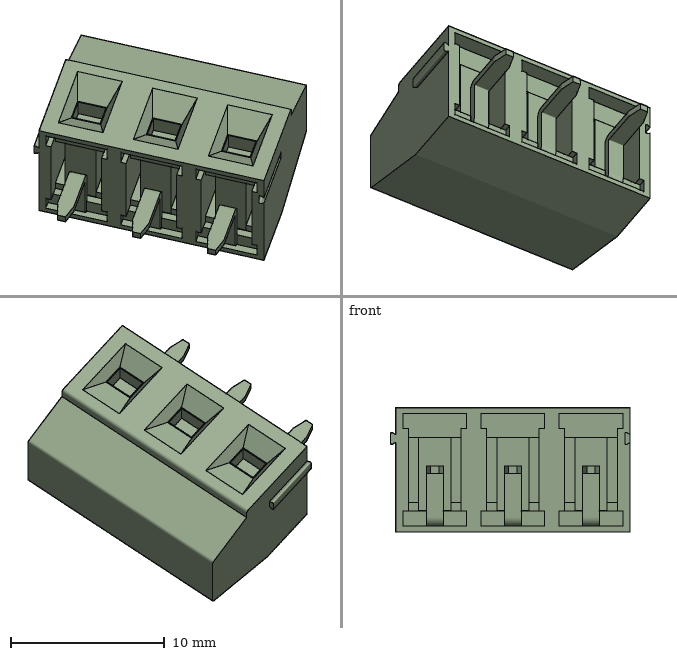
import cadquery as cq


pole_count = 3
pole_pitch = 5.08

overall_width = 15.59
housing_width = pole_count * pole_pitch
housing_depth = 10.01
housing_height = 8.1
half_width = housing_width / 2
step_y = 6.4
step_z = 7.4
upper_back_z = 6.38
lower_back_z = 1.68
underside_end_y = 4.21
edge_radius = 0.22

rail_height = overall_width - housing_width
rail_length = 4.0
rail_z = 6.1
rail_neck = 0.53
rail_tip = 0.9
rail_radius = 0.1

rim = 0.39
wide_half = 2.07
narrow_half = 1.71
upper_wide_z = 6.73
lower_wide_z = 1.37
recess_depth = 1.0
lower_recess_depth = 0.5
recess_top_z = housing_height - rim

chamber_floor_z = 1.92
chamber_top_z = 6.16

funnel_half = 1.51
funnel_front_y = 1.0
funnel_back_y = 5.52
throat_half = 1.0
throat_front_y = 2.25
throat_back_y = 3.73
funnel_depth = 0.78
throat_z = housing_height - funnel_depth
throat_ledge = 0.06

clamp_half = 1.05
clamp_floor_z = 1.42
clamp_front_y = recess_depth
clamp_back_y = funnel_back_y
strip_thickness = 0.5
inner_bend_radius = 0.05
outer_bend_radius = inner_bend_radius + strip_thickness
pin_width = 1.1
pin_top_z = 4.3
leg_front_y = 0.08
tail_length = 3.49
tip_length = 1.0
tip_width = 0.55

pole_positions = [(i - (pole_count - 1) / 2) * pole_pitch for i in range(pole_count)]


def box(x_range, y_range, z_range):
    """Axis-aligned box between two limits on each axis."""
    size = [high - low for low, high in (x_range, y_range, z_range)]
    return cq.Workplane("XY").box(*size, centered=False).translate((x_range[0], y_range[0], z_range[0]))


def centred_box(half, y_range, z_range):
    """Box that is symmetric about X = 0."""
    return box((-half, half), y_range, z_range)


def nearest(point):
    """Selector for the edge whose middle is nearest to a point."""
    return cq.selectors.NearestToPointSelector(point)


def make_shell():
    """Side profile extruded over the whole width, with its upper and back edges rounded."""
    profile = [
        (0, 0),
        (underside_end_y, 0),
        (housing_depth, lower_back_z),
        (housing_depth, upper_back_z),
        (step_y, step_z),
        (step_y, housing_height),
        (0, housing_height),
    ]
    shell = cq.Workplane("YZ").polyline(profile).close().extrude(half_width, both=True)
    back_edges = shell.faces(">Y").edges("|X")
    step_edge = shell.edges(nearest((0, step_y, housing_height)))
    return shell.newObject(back_edges.vals() + step_edge.vals()).fillet(edge_radius)


def make_rail(root_x):
    """Dovetail rail that stands out toward -X from root_x, with its two lips rounded."""
    tip_x = root_x - rail_height
    profile = [
        (root_x, rail_z - rail_neck / 2),
        (tip_x, rail_z - rail_tip / 2),
        (tip_x, rail_z + rail_tip / 2),
        (root_x, rail_z + rail_neck / 2),
    ]
    rail = cq.Workplane("XZ").polyline(profile).close().extrude(-rail_length)
    return rail.faces("<X").edges("|Y").fillet(rail_radius)


def make_front_recess():
    """Recess in the mounting face: wide at the top and bottom, narrow between."""
    deep = (0, recess_depth)
    top = centred_box(wide_half, deep, (upper_wide_z, recess_top_z))
    middle = centred_box(narrow_half, deep, (lower_wide_z, recess_top_z))
    bottom = centred_box(wide_half, (0, lower_recess_depth), (rim, lower_wide_z))
    return top.union(middle).union(bottom)


def make_chamber():
    """Chamber behind the recess, wider than the clamp that stands in it."""
    return centred_box(narrow_half, (recess_depth, clamp_back_y), (chamber_floor_z, chamber_top_z))


def make_funnel():
    """Tapered wire entry with a straight throat that reaches the top of the clamp chamber."""
    mouth_centre = (funnel_front_y + funnel_back_y) / 2
    throat_centre = (throat_front_y + throat_back_y) / 2
    throat_length = throat_back_y - throat_front_y
    taper = (
        cq.Workplane("XY", origin=(0, mouth_centre, housing_height))
        .rect(2 * funnel_half, funnel_back_y - funnel_front_y)
        .workplane(offset=-funnel_depth)
        .center(0, throat_centre - mouth_centre)
        .rect(2 * throat_half, throat_length)
        .loft(ruled=True)
    )
    throat_y = (throat_front_y + throat_ledge, throat_back_y - throat_ledge)
    throat = centred_box(throat_half - throat_ledge, throat_y, (chamber_top_z, throat_z))
    return taper.union(throat)


def make_tail():
    """Solder tail along -Y with a tapered tip."""
    shoulder_y = tip_length - tail_length
    right_side = [
        (pin_width / 2, leg_front_y + strip_thickness),
        (pin_width / 2, shoulder_y),
        (tip_width / 2, -tail_length),
    ]
    left_side = [(-x, y) for x, y in reversed(right_side)]
    outline = cq.Workplane("XY", origin=(0, 0, pin_top_z - strip_thickness)).polyline(right_side + left_side)
    return outline.close().extrude(strip_thickness)


def make_terminal():
    """Clamp block and the bent strip that carries its solder tail, as one solid."""
    pin_half = pin_width / 2
    leg_back_y = leg_front_y + strip_thickness
    riser_back_y = clamp_front_y + strip_thickness
    leg = centred_box(pin_half, (leg_front_y, leg_back_y), (rim, pin_top_z))
    foot = centred_box(pin_half, (leg_front_y, riser_back_y), (rim, rim + strip_thickness))
    riser = centred_box(pin_half, (clamp_front_y, riser_back_y), (rim, clamp_floor_z))
    strip = make_tail().union(leg).union(foot).union(riser)
    bends = [
        (leg_back_y, pin_top_z, outer_bend_radius),
        (leg_front_y, pin_top_z - strip_thickness, inner_bend_radius),
        (leg_front_y, rim, outer_bend_radius),
        (leg_back_y, rim + strip_thickness, inner_bend_radius),
    ]
    for y, z, radius in bends:
        strip = strip.edges(nearest((0, y, z))).fillet(radius)
    clamp = centred_box(clamp_half, (clamp_front_y, clamp_back_y), (clamp_floor_z, chamber_top_z))
    return strip.union(clamp)


def make_housing(terminals):
    """Shell with its rail and groove, the openings of every pole, and seats that fit the terminals."""
    housing = make_shell().union(make_rail(-half_width)).cut(make_rail(half_width))
    opening = make_front_recess().union(make_chamber()).union(make_funnel())
    for x, terminal in zip(pole_positions, terminals):
        housing = housing.cut(opening.translate((x, 0, 0))).cut(terminal)
    return housing


terminal_shape = make_terminal()
terminals = [terminal_shape.translate((x, 0, 0)) for x in pole_positions]
housing = make_housing(terminals)

result = cq.Compound.makeCompound([housing.val(), *[terminal.val() for terminal in terminals]])